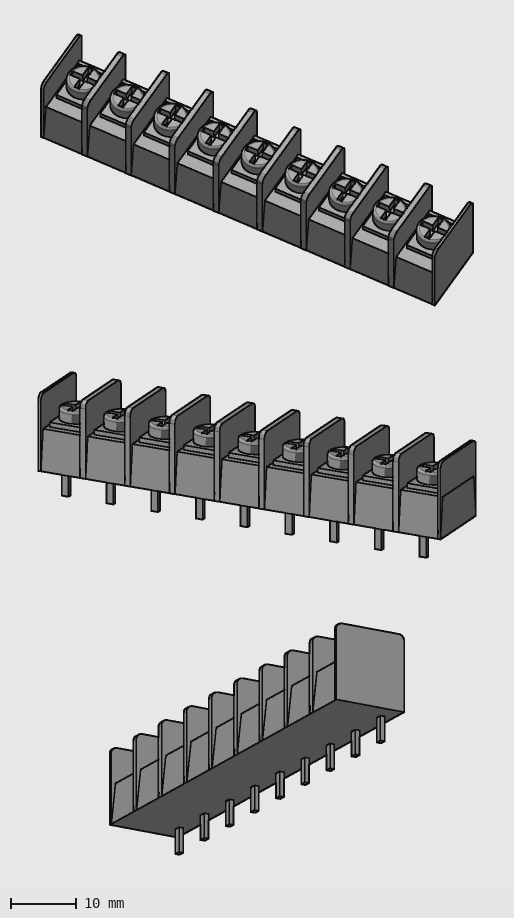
import cadquery as cq

positions = 9
total_length = 68.6
pitch = total_length / positions
start_x = -total_length / 2

wall_depth = 12.0
wall_height = 12.4
wall_corner_radius = 1.0
end_wall_thickness = 0.5
inner_wall_thickness = 2 * end_wall_thickness

block_height = 6.65
block_foot_depth = 11.9
block_top_depth = 10.5

clamp_y = 0.55
plate_width = 5.6
plate_depth = 7.0
plate_thickness = 0.75
head_diameter = 5.3
head_height = 1.9
head_edge_radius = 0.4
slot_width = 0.8
slot_length = 4.25
slot_depth = 1.4

pin_width = 1.2
pin_thickness = 0.75
pin_length = 4.0
pin_y = 4.05

plate_top = block_height + plate_thickness
head_top = plate_top + head_height
position_centres = [start_x + (i + 0.5) * pitch for i in range(positions)]


def make_wall(x_start, thickness):
    """Upright wall with its two upper corners rounded."""
    return (
        cq.Workplane("XY", origin=(x_start, 0, 0))
        .box(thickness, wall_depth, wall_height, centered=(False, True, False))
        .edges("|X and >Z")
        .fillet(wall_corner_radius)
    )


def make_block():
    """Bar of trapezoidal section, narrower at the top."""
    half_foot = block_foot_depth / 2
    half_top = block_top_depth / 2
    section = [(-half_foot, 0), (half_foot, 0), (half_top, block_height), (-half_top, block_height)]
    return cq.Workplane("YZ", origin=(start_x, 0, 0)).polyline(section).close().extrude(total_length)


def make_screw_head(x):
    """Round head with a softened rim and a cross recess."""
    head = (
        cq.Workplane("XY", origin=(x, clamp_y, plate_top))
        .circle(head_diameter / 2)
        .extrude(head_height)
        .faces(">Z")
        .edges()
        .fillet(head_edge_radius)
    )
    recess_plane = cq.Workplane("XY", origin=(x, clamp_y, head_top))
    slot_along_x = recess_plane.rect(slot_length, slot_width).extrude(-slot_depth)
    slot_along_y = recess_plane.rect(slot_width, slot_length).extrude(-slot_depth)
    return head.cut(slot_along_x).cut(slot_along_y)


def make_clamp_plate(x):
    plane = cq.Workplane("XY", origin=(x, clamp_y, block_height))
    return plane.rect(plate_width, plate_depth).extrude(plate_thickness)


def make_pin(x):
    plane = cq.Workplane("XY", origin=(x, pin_y, 0))
    return plane.rect(pin_width, pin_thickness).extrude(-pin_length)


def make_terminal_strip():
    """Block with its walls, clamps and pins; its -X end is left bare for the end plate."""
    strip = make_block()
    for x in position_centres[:-1]:
        strip = strip.union(make_wall(x + pitch / 2 - inner_wall_thickness / 2, inner_wall_thickness))
    strip = strip.union(make_wall(total_length / 2 - end_wall_thickness, end_wall_thickness))
    for x in position_centres:
        strip = strip.union(make_clamp_plate(x)).union(make_screw_head(x)).union(make_pin(x))
    return strip


def make_end_plate():
    """End wall with an opening that fits around the bare end of the block."""
    return make_wall(start_x, end_wall_thickness).cut(make_block())


terminal_strip = make_terminal_strip()
end_plate = make_end_plate()

result = cq.Compound.makeCompound([*terminal_strip.solids().vals(), *end_plate.solids().vals()])